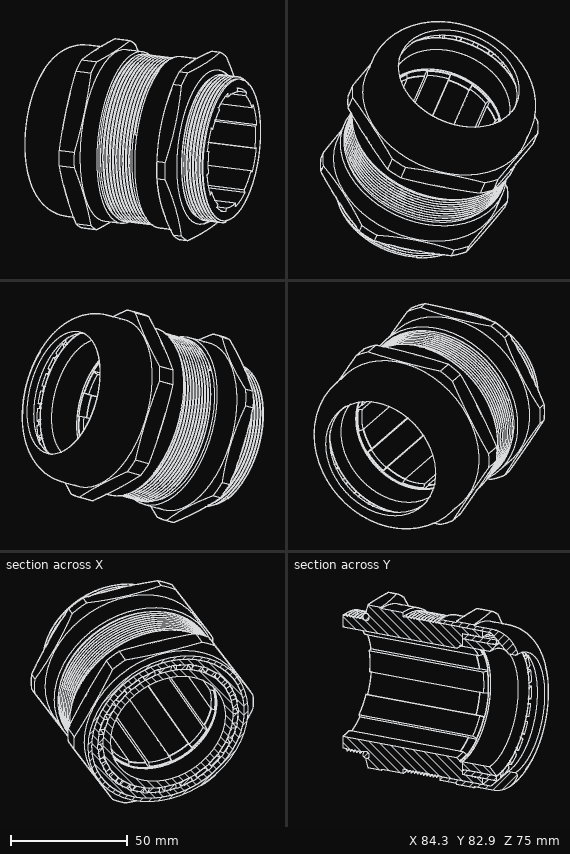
import cadquery as cq
import math


OVERALL_LENGTH = 84.3
OUTER_RADIUS = 74.1 / 2
ACROSS_FLATS = 75.0
HEX_CIRCUMSCRIBED_DIAMETER = ACROSS_FLATS / math.cos(math.radians(30))

NUT_LENGTH = 37.5
DOME_END = 12.1
DOME_ARC_RADIUS = 12.8
DOME_START_RADIUS = 29.2
MOUTH_RADIUS = 53.9 / 2
RIM_RADIUS = 28.3
RIM_INNER_RADIUS = 27.3
RIM_INNER_POSITION = 0.4
MOUTH_CHAMFER_END = 0.9
LIP_END = 4.5
CAVITY_RADIUS = 70.2 / 2
NUT_HEX_START = 20.9
NUT_HEX_END = 29.7
NUT_HEX_CORNER_RADIUS = 82.9 / 2
NUT_HEX_CHAMFER_ANGLE = 11.0

SLEEVE_START = 10.1
SLEEVE_END = 26.8
SLEEVE_RADIUS = 60.45 / 2
SLEEVE_TIP_RADIUS = 60.0 / 2
SLEEVE_BORE_RADIUS = 52.9 / 2
SLEEVE_CONE_END = 13.5
CAGE_RADIUS = 32.5
FINGER_COUNT = 26
FINGER_PITCH = 360 / FINGER_COUNT
SLOT_WIDTH = 2.2
SLOT_END = 21.1
FIRST_SLOT_ANGLE = -2.0

BODY_START = 16.9
BODY_CORE_RADIUS = CAVITY_RADIUS
SHOULDER = 55.2
BODY_HEX_START = 65.6
BODY_HEX_END = 73.3
BODY_HEX_CORNER_RADIUS = 41.2
BODY_HEX_FRONT_ANGLE = 22.5
BODY_HEX_BACK_ANGLE = 15.5
BODY_HEX_BACK_RADIUS = 68.05 / 2
SPIGOT_RADIUS = 61.1 / 2
BODY_BORE_RADIUS = 53.2 / 2
RECESS_RADIUS = 53.9 / 2
RECESS_END = 31.95

TOOTH_COUNT = 8
TOOTH_PITCH = 360 / TOOTH_COUNT
TOOTH_ANGLE = TOOTH_PITCH / 2
FIRST_TOOTH_ANGLE = -2.2
TOOTH_START = 27.8
TOOTH_FRONT_RADIUS = 26.1
TOOTH_TOP_START = 29.35
TOOTH_RADIUS = 25.05
TOOTH_ROOT_DEPTH = 0.85

QUARTER_TURN = 90
THREAD_PITCH = 1.5
THREAD_BASE = 1.1
THREAD_ROOT_DEPTH = 0.1
BODY_THREAD_RADIUS = 36.1
BODY_THREAD_START = 38.1
BODY_THREAD_END = 54.0
SPIGOT_THREAD_RADIUS = 63.0 / 2
SPIGOT_THREAD_START = 75.05
SPIGOT_THREAD_END = 83.7

O_RING_SECTION_RADIUS = 1.5
O_RING_CENTRE_RADIUS = 31.8


def turn(outline, angle=360):
    """Revolve a closed outline of (position, radius) about the X axis."""
    return outline.close().revolve(angle, (0, 0, 0), (1, 0, 0))


def turn_points(points, angle=360):
    return turn(cq.Workplane("XY").polyline(points), angle)


def cylinder(start, end, radius):
    return cq.Workplane("YZ").workplane(offset=start).circle(radius).extrude(end - start)


def around_x(shape, angle):
    return shape.rotate((0, 0, 0), (1, 0, 0), angle)


def hexagon(start, end, corner_radius, front_radius, front_angle, back_radius, back_angle):
    """Hexagon with corners on +Y and -Y, turned to a corner radius and chamfered on both faces."""
    prism = (
        cq.Workplane("YZ").workplane(offset=start)
        .polygon(6, HEX_CIRCUMSCRIBED_DIAMETER).extrude(end - start)
    )
    front_depth = (corner_radius - front_radius) * math.tan(math.radians(front_angle))
    back_depth = (corner_radius - back_radius) * math.tan(math.radians(back_angle))
    envelope = turn_points([
        (start, 0),
        (start, front_radius),
        (start + front_depth, corner_radius),
        (end - back_depth, corner_radius),
        (end, back_radius),
        (end, 0),
    ])
    return prism.intersect(envelope)


def thread_ridge(start, end, root_radius, crest_radius):
    """Right-handed triangular ridge starting at +Y, its foot sunk slightly below the root surface."""
    foot_radius = root_radius - THREAD_ROOT_DEPTH
    path = cq.Wire.makeHelix(THREAD_PITCH, end - start, foot_radius)
    ridge = (
        cq.Workplane("XZ")
        .polyline([
            (foot_radius, -THREAD_BASE / 2),
            (crest_radius, 0),
            (foot_radius, THREAD_BASE / 2),
        ])
        .close()
        .sweep(cq.Workplane(obj=path), isFrenet=True)
    )
    along_x = ridge.rotate((0, 0, 0), (0, 1, 0), QUARTER_TURN)
    return around_x(along_x, QUARTER_TURN).translate((start, 0, 0))


def o_ring():
    return (
        cq.Workplane("XY")
        .moveTo(BODY_HEX_END, O_RING_CENTRE_RADIUS)
        .circle(O_RING_SECTION_RADIUS)
        .revolve(360, (0, 0, 0), (1, 0, 0))
    )


def dome_nut():
    dome_centre_radius = OUTER_RADIUS - DOME_ARC_RADIUS

    def dome_point(radius):
        rise = radius - dome_centre_radius
        return (DOME_END - math.sqrt(DOME_ARC_RADIUS ** 2 - rise ** 2), radius)

    dome_middle = dome_point((DOME_START_RADIUS + OUTER_RADIUS) / 2)
    cone_slope = (CAGE_RADIUS - MOUTH_RADIUS) / (SLEEVE_START - LIP_END)
    cavity_start = LIP_END + (CAVITY_RADIUS - MOUTH_RADIUS) / cone_slope
    shell = turn(
        cq.Workplane("XY")
        .moveTo(MOUTH_CHAMFER_END, MOUTH_RADIUS)
        .lineTo(RIM_INNER_POSITION, RIM_INNER_RADIUS)
        .threePointArc((0, RIM_RADIUS), dome_point(DOME_START_RADIUS))
        .threePointArc(dome_middle, (DOME_END, OUTER_RADIUS))
        .lineTo(NUT_LENGTH, OUTER_RADIUS)
        .lineTo(NUT_LENGTH, CAVITY_RADIUS)
        .lineTo(cavity_start, CAVITY_RADIUS)
        .lineTo(LIP_END, MOUTH_RADIUS)
    )
    wrench_hexagon = hexagon(
        NUT_HEX_START, NUT_HEX_END, NUT_HEX_CORNER_RADIUS,
        OUTER_RADIUS, NUT_HEX_CHAMFER_ANGLE, OUTER_RADIUS, NUT_HEX_CHAMFER_ANGLE,
    )
    return shell.union(wrench_hexagon.cut(cylinder(NUT_HEX_START, NUT_HEX_END, CAVITY_RADIUS)))


def sealing_sleeve():
    return turn_points([
        (SLEEVE_START, SLEEVE_RADIUS),
        (SLEEVE_START, SLEEVE_TIP_RADIUS),
        (SLEEVE_CONE_END, SLEEVE_BORE_RADIUS),
        (SLEEVE_END, SLEEVE_BORE_RADIUS),
        (SLEEVE_END, SLEEVE_RADIUS),
    ])


def clamping_cage():
    cage = cylinder(SLEEVE_START, SLEEVE_END, CAGE_RADIUS).cut(
        cylinder(SLEEVE_START, SLEEVE_END, SLEEVE_RADIUS)
    )
    slot = cq.Workplane("XY").box(
        SLOT_END - SLEEVE_START, CAGE_RADIUS, SLOT_WIDTH, centered=(False, False, True)
    ).translate((SLEEVE_START, SLEEVE_RADIUS / 2, 0))
    for index in range(FINGER_COUNT):
        cage = cage.cut(around_x(slot, FIRST_SLOT_ANGLE + index * FINGER_PITCH))
    return cage


def bore_tooth(angle):
    root_radius = RECESS_RADIUS + TOOTH_ROOT_DEPTH
    tooth = turn_points(
        [
            (TOOTH_START, root_radius),
            (TOOTH_START, TOOTH_FRONT_RADIUS),
            (TOOTH_TOP_START, TOOTH_RADIUS),
            (OVERALL_LENGTH, TOOTH_RADIUS),
            (OVERALL_LENGTH, root_radius),
        ],
        TOOTH_ANGLE,
    )
    return around_x(tooth, angle - TOOTH_ANGLE / 2)


def gland_body():
    body = (
        cylinder(BODY_START, SHOULDER, BODY_CORE_RADIUS)
        .union(cylinder(SHOULDER, BODY_HEX_START, OUTER_RADIUS))
        .union(cylinder(BODY_HEX_END, OVERALL_LENGTH, SPIGOT_RADIUS))
        .union(hexagon(
            BODY_HEX_START, BODY_HEX_END, BODY_HEX_CORNER_RADIUS,
            OUTER_RADIUS, BODY_HEX_FRONT_ANGLE, BODY_HEX_BACK_RADIUS, BODY_HEX_BACK_ANGLE,
        ))
        .cut(cylinder(BODY_START, SLEEVE_END, CAGE_RADIUS))
        .cut(cylinder(SLEEVE_END, OVERALL_LENGTH, BODY_BORE_RADIUS))
        .cut(cylinder(TOOTH_START, RECESS_END, RECESS_RADIUS))
        .cut(o_ring())
    )
    for index in range(TOOTH_COUNT):
        body = body.union(bore_tooth(FIRST_TOOTH_ANGLE + index * TOOTH_PITCH))
    body_thread = thread_ridge(
        BODY_THREAD_START, BODY_THREAD_END, BODY_CORE_RADIUS, BODY_THREAD_RADIUS
    )
    spigot_thread = thread_ridge(
        SPIGOT_THREAD_START, SPIGOT_THREAD_END, SPIGOT_RADIUS, SPIGOT_THREAD_RADIUS
    )
    return body.union(body_thread).union(spigot_thread)


nut = dome_nut()
sleeve = sealing_sleeve()
cage = clamping_cage()
body = gland_body()
flange_ring = o_ring()

result = cq.Compound.makeCompound([
    nut.solids().val(),
    sleeve.val(),
    cage.solids().val(),
    body.solids().val(),
    flange_ring.val(),
])